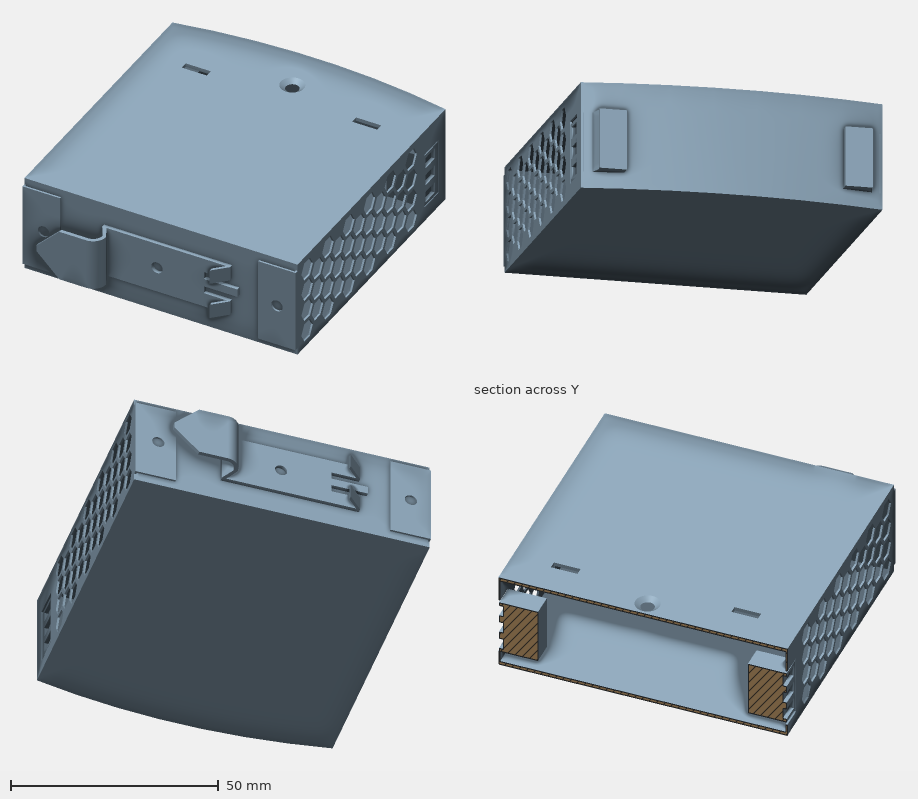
import cadquery as cq
import math

WIDTH = 75.0
HEIGHT = 26.5
EDGE_DEPTH = 73.95
CROWN_DEPTH = 77.55
COVER_WALL = 1.0
SIDE_WALL = 0.5
HALF_WIDTH = WIDTH / 2
INNER_X = HALF_WIDTH - SIDE_WALL
FEATURE_X = 0.35

HEX_FLATS = 5.0
HEX_PITCH = 6.0
HEX_CORNERS = HEX_FLATS * 2 / math.sqrt(3)
HEX_COLUMN_STEP = HEX_PITCH * math.sqrt(3) / 2
HEX_COLUMNS = 11
HEX_FIRST_Y = 4.8
HEX_ROWS_LONG = 4
HEX_ROWS_SHORT = 3

TERMINAL_Z = -1.78
TERMINAL_HEIGHT = 14.9
TERMINAL_BACK_Y = 63.2
TERMINAL_FRONT_Y = 78.4
TERMINAL_INNER_X = 27.2
LIP_OUTER_X = 34.0
LIP_NECK = (33.8, 77.3)
LIP_ROOT = (34.8, 74.1)
OPENING_Y = (63.4, 70.5)
TERMINAL_RECESS = 0.2
OPENING_GAP = 0.7
WINDOW_COUNT = 3
WINDOW_PITCH = 5.0
WINDOW_LENGTH = 4.6
WINDOW_HEIGHT = 3.0
WINDOW_Y = 66.65
WINDOW_DEPTH = 1.0

SCREW_Y = 65.0
SCREW_HOLE_D = 3.5
SCREW_HEAD_D = 6.3
SLOT_SPACING = 46.8
SLOT_Y = 59.55
SLOT_LENGTH = 6.9
SLOT_WIDTH = 2.0

FLANGE_REACH = 1.0
FLANGE_THICKNESS = 0.5
FLANGE_WIDTH = 10.3
FLANGE_HEIGHT = 22.8
FLANGE_HOLE_D = 3.1
FLANGE_HOLE_SPACING = 64.1

CLIP_SHEET = 1.0
CLIP_HEIGHT = 14.0
CLIP_REACH = 7.88
CLIP_HOLE_X = -0.55
CLIP_HOLE_D = 3.1
BEND_X = -16.25
BEND_OUTER_R = 3.55
LEG_WIDTH = 1.15
PLATE_START_X = -15.6
HOOK_TIP_X = -29.9
HOOK_SHOULDER_X = -23.6
HOOK_TIP_HALF_HEIGHT = 0.8
PLATE_END_X = 19.5
PRONG_TIP_X = 15.9
PRONG_TIP_LENGTH = 1.0
NOTCH_START_X = 12.3
NOTCH_INNER_Z = 1.1
NOTCH_HEIGHT = 2.0
TONGUE_END_X = 21.5


def box_between(x_range, y_range, z_range):
    """Box spanning the given coordinate ranges."""
    size = [high - low for low, high in (x_range, y_range, z_range)]
    corner = (x_range[0], y_range[0], z_range[0])
    return cq.Workplane("XY").box(*size, centered=False).translate(corner)


def extrude_over_z(profile, height, middle_z=0.0):
    """Extrude a closed XY profile symmetrically about middle_z."""
    return profile.extrude(height / 2, both=True).translate((0, 0, middle_z))


def bowed_plate(inset):
    """Housing footprint with a bowed front, front and back moved in by inset."""
    return (
        cq.Workplane("XY")
        .moveTo(-HALF_WIDTH, inset)
        .lineTo(HALF_WIDTH, inset)
        .lineTo(HALF_WIDTH, EDGE_DEPTH - inset)
        .threePointArc((0, CROWN_DEPTH - inset), (-HALF_WIDTH, EDGE_DEPTH - inset))
        .close()
    )


def make_shell():
    """Closed sheet-metal box with a bowed front."""
    outer = extrude_over_z(bowed_plate(0), HEIGHT)
    cavity = extrude_over_z(bowed_plate(COVER_WALL), HEIGHT - 2 * COVER_WALL)
    inner_space = box_between((-INNER_X, INNER_X), (0, CROWN_DEPTH), (-HEIGHT / 2, HEIGHT / 2))
    return outer.cut(cavity.intersect(inner_space))


def make_hex_vents():
    """Hexagonal prisms through both sides, columns of four and three by turns."""
    centers = []
    for column in range(HEX_COLUMNS):
        rows = HEX_ROWS_LONG if column % 2 == 0 else HEX_ROWS_SHORT
        for row in range(rows):
            y = HEX_FIRST_Y + column * HEX_COLUMN_STEP
            z = (row - (rows - 1) / 2) * HEX_PITCH
            centers.append((y, z))
    return cq.Workplane("YZ").pushPoints(centers).polygon(6, HEX_CORNERS).extrude(HALF_WIDTH, both=True)


def make_terminal():
    """Right-hand terminal block with recessed windows in its outer side."""
    profile = (
        cq.Workplane("XY")
        .moveTo(TERMINAL_INNER_X, TERMINAL_BACK_Y)
        .lineTo(INNER_X, TERMINAL_BACK_Y)
        .lineTo(INNER_X, LIP_ROOT[1])
        .lineTo(*LIP_ROOT)
        .lineTo(*LIP_NECK)
        .lineTo(LIP_OUTER_X, TERMINAL_FRONT_Y)
        .lineTo(TERMINAL_INNER_X, TERMINAL_FRONT_Y)
        .close()
    )
    block = extrude_over_z(profile, TERMINAL_HEIGHT, TERMINAL_Z)
    face_x = HALF_WIDTH - TERMINAL_RECESS
    z_range = (TERMINAL_Z - TERMINAL_HEIGHT / 2, TERMINAL_Z + TERMINAL_HEIGHT / 2)
    block = block.union(box_between((TERMINAL_INNER_X, face_x), OPENING_Y, z_range))
    windows = (
        cq.Workplane("YZ")
        .workplane(offset=face_x - WINDOW_DEPTH)
        .center(WINDOW_Y, TERMINAL_Z)
        .rarray(1, WINDOW_PITCH, 1, WINDOW_COUNT)
        .rect(WINDOW_LENGTH, WINDOW_HEIGHT)
        .extrude(WINDOW_DEPTH)
    )
    return block.cut(windows)


def make_side_openings():
    """Terminal openings; the right one has no clearance below the terminal."""
    bottom = TERMINAL_Z - TERMINAL_HEIGHT / 2
    top = TERMINAL_Z + TERMINAL_HEIGHT / 2 + OPENING_GAP
    left = box_between((-HALF_WIDTH, -INNER_X), OPENING_Y, (bottom - OPENING_GAP, top))
    right = box_between((INNER_X, HALF_WIDTH), OPENING_Y, (bottom, top))
    return left.union(right)


def cut_top_features(body):
    """Countersunk screw hole and two slots through the top sheet."""
    sink_angle = 2 * math.degrees(math.atan((SCREW_HEAD_D - SCREW_HOLE_D) / 2 / COVER_WALL))
    top = cq.Workplane("XY", origin=(FEATURE_X, 0, HEIGHT / 2))
    body = (
        body.copyWorkplane(top)
        .pushPoints([(0, SCREW_Y)])
        .cskHole(SCREW_HOLE_D, SCREW_HEAD_D, sink_angle, depth=COVER_WALL)
    )
    slots = (
        top.center(0, SLOT_Y)
        .rarray(SLOT_SPACING, 1, 2, 1)
        .rect(SLOT_LENGTH, SLOT_WIDTH)
        .extrude(-COVER_WALL)
    )
    return body.cut(slots)


def y_hole(x, diameter, depth):
    """Round cutter along Y, reaching depth behind the back face."""
    return cq.Workplane("XZ").center(x, 0).circle(diameter / 2).extrude(depth)


def make_flange():
    """Right-hand lug: the side sheet runs past the back and folds inward."""
    z_range = (-FLANGE_HEIGHT / 2, FLANGE_HEIGHT / 2)
    web = box_between((INNER_X, HALF_WIDTH), (-FLANGE_REACH, 0), z_range)
    face_y = (-FLANGE_REACH, FLANGE_THICKNESS - FLANGE_REACH)
    face = box_between((HALF_WIDTH - FLANGE_WIDTH, HALF_WIDTH), face_y, z_range)
    return web.union(face)


def make_hook():
    """Slanted leg, round bend and pointed tongue at the left end of the clip."""
    inner_r = BEND_OUTER_R - CLIP_SHEET
    bend_y = BEND_OUTER_R - CLIP_REACH

    def bend_middle(radius):
        return (BEND_X + radius * math.cos(math.pi / 4), bend_y - radius * math.sin(math.pi / 4))

    profile = (
        cq.Workplane("XY")
        .moveTo(PLATE_START_X, 0)
        .lineTo(PLATE_START_X + LEG_WIDTH, 0)
        .lineTo(PLATE_START_X + LEG_WIDTH, -CLIP_SHEET)
        .lineTo(BEND_X + BEND_OUTER_R, bend_y)
        .threePointArc(bend_middle(BEND_OUTER_R), (BEND_X, -CLIP_REACH))
        .lineTo(HOOK_TIP_X, -CLIP_REACH)
        .lineTo(HOOK_TIP_X, CLIP_SHEET - CLIP_REACH)
        .lineTo(BEND_X, CLIP_SHEET - CLIP_REACH)
        .threePointArc(bend_middle(inner_r), (BEND_X + inner_r, bend_y))
        .lineTo(PLATE_START_X, -CLIP_SHEET)
        .close()
    )
    half_height = CLIP_HEIGHT / 2
    pointed_outline = (
        cq.Workplane("XZ")
        .moveTo(HOOK_TIP_X, -HOOK_TIP_HALF_HEIGHT)
        .lineTo(HOOK_SHOULDER_X, -half_height)
        .lineTo(0, -half_height)
        .lineTo(0, half_height)
        .lineTo(HOOK_SHOULDER_X, half_height)
        .lineTo(HOOK_TIP_X, HOOK_TIP_HALF_HEIGHT)
        .close()
        .extrude(CLIP_REACH)
    )
    return extrude_over_z(profile, CLIP_HEIGHT).intersect(pointed_outline)


def make_clip():
    """Flat plate, folded prongs with a straight tongue between them, and hook."""
    fold = PLATE_END_X - PRONG_TIP_X
    profile = (
        cq.Workplane("XY")
        .moveTo(PLATE_START_X, 0)
        .lineTo(PLATE_END_X, 0)
        .lineTo(PLATE_END_X, -CLIP_SHEET)
        .lineTo(PRONG_TIP_X, -CLIP_SHEET - fold)
        .lineTo(PRONG_TIP_X, PRONG_TIP_LENGTH - CLIP_SHEET - fold)
        .lineTo(PLATE_END_X - PRONG_TIP_LENGTH, -CLIP_SHEET)
        .lineTo(PLATE_START_X, -CLIP_SHEET)
        .close()
    )
    clip = extrude_over_z(profile, CLIP_HEIGHT)
    notch_outer_z = NOTCH_INNER_Z + NOTCH_HEIGHT
    prong_gap = box_between(
        (NOTCH_START_X, PLATE_END_X), (-CLIP_REACH, 0), (-notch_outer_z, notch_outer_z)
    )
    tongue = box_between(
        (NOTCH_START_X, TONGUE_END_X), (-CLIP_SHEET, 0), (-NOTCH_INNER_Z, NOTCH_INNER_Z)
    )
    clip = clip.cut(prong_gap).union(tongue).union(make_hook())
    return clip.cut(y_hole(CLIP_HOLE_X, CLIP_HOLE_D, CLIP_SHEET))


def with_mirror(right_part):
    """The right-hand part together with its left-hand mirror image."""
    return right_part.union(right_part.mirror("YZ"))


housing = make_shell().cut(make_hex_vents()).cut(make_side_openings())
housing = cut_top_features(housing)

flanges = with_mirror(make_flange())
for side in (-1, 1):
    hole_x = FEATURE_X + side * FLANGE_HOLE_SPACING / 2
    flanges = flanges.cut(y_hole(hole_x, FLANGE_HOLE_D, FLANGE_REACH))

result = housing.union(with_mirror(make_terminal())).union(flanges).union(make_clip())